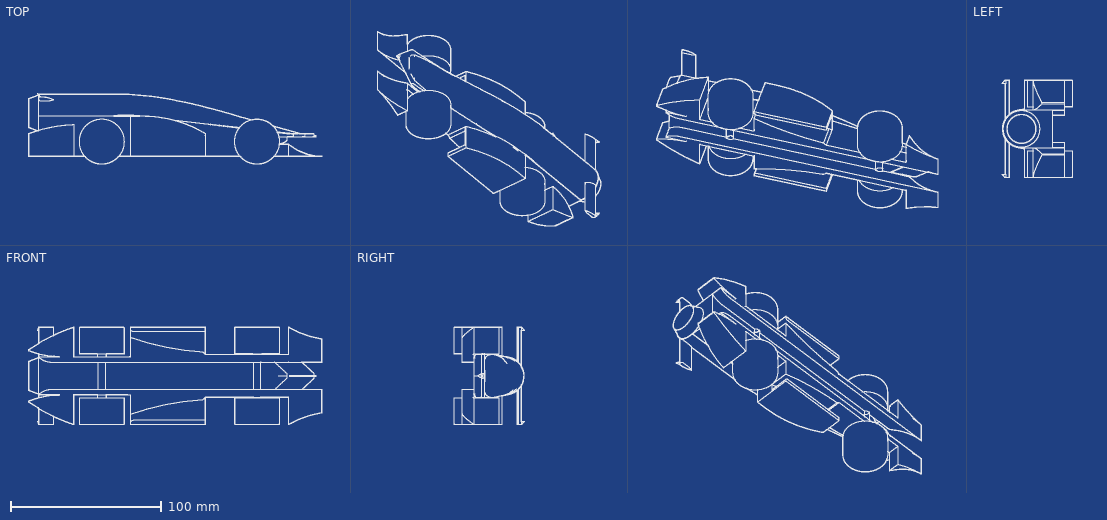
import cadquery as cq
import math


length = 195.0
half_span = 32.5
rear_half_width = 12.7
front_half_width = 14.3

body_rear_x = 6.6
deck_y = 26.7
tunnel_half_width = 9.0
tunnel_roof_y = 8.0
tunnel_flare_length = 8.5
tunnel_flare_half_width = 12.4
tunnel_flare_mid_point = (10.0, 10.2)

chamber_y = 28.7
chamber_radius = 12.6
chamber_front_x = 56.0
chamber_bore_diameter = 19.0
chamber_bore_depth = 50.0
chamber_deck_half_width = math.sqrt(chamber_radius ** 2 - (chamber_y - deck_y) ** 2)
cone_rear_radius = 9.7
cone_front_radius = 12.2

nose_stations = [
    (chamber_front_x, deck_y, chamber_y + chamber_radius, chamber_deck_half_width),
    (75.0, deck_y, 40.7, 12.9),
    (93.0, 24.4, 38.2, 13.5),
    (116.0, 21.7, 33.2, front_half_width),
    (139.0, 19.1, 26.9, front_half_width),
    (162.0, 16.4, 20.3, 13.0),
    (180.0, 14.4, 15.4, 9.0),
]
shoulder_bend_x = 78.0
shoulder_line_x = 93.0
shoulder_line_y = 24.4
shoulder_end_x = 172.0

sweep_slope = 1.07
foil_tip_x = 191.6
foil_tip_y = 14.0
foil_bottom_y = 12.9
foil_top_y = 15.1
foil_round_length = 4.0
foil_blunt_x = 189.9
foil_chord = 25.0
chin_start_x = 164.4
chin_front_x = 173.4
chin_front_direction = (0.4, 1.0)
blade_front_x = 191.0
blade_thickness = 0.5
blade_height = 0.9
blade_drop = 0.1

pod_rear_x = 67.6
pod_front_x = 117.6
pod_bend_x = 76.0
pod_front_y = 15.1
pod_plate_thickness = 3.0
pod_inlet_radius = 2.0
duct_roof_y = 13.2
duct_flare = 1.9
duct_roof_flare = 0.95
duct_wall_rear_z = 25.6
duct_wall_mid_point = (87.0, 20.0)
duct_wall_front_z = 15.9

guard_front_x = 30.0
guard_rear_y = 15.1
guard_front_y = 21.0
guard_mid_point = (15.0, 19.3)
guard_tip_outer_z = 17.4
guard_tip_inner_z = 16.7
guard_outer_mid_point = (14.5, 26.1)
guard_inner_mid_point = (9.0, 14.0)
guard_joint_x = 22.0

front_wing_x = 172.8
front_wing_end_z = 24.6
front_wing_mid_point = (183.0, 27.7)
front_wing_edge = 0.01
front_wing_rear_direction = (-0.8, 0.6)

wing_rear_x = 6.6
wing_front_x = 16.6
wing_bottom_y = 36.8
wing_top_y = 39.6
wing_tip_y = 37.5
wing_flat_start_x = 7.7
wing_flat_end_x = 13.7
wing_tail_direction = (-1, 0.5)
winglet_thickness = 2.3
winglet_x = 5.9
winglet_top_y = 41.7

wheel_diameter = 30.0
wheel_inner_z = 14.7
wheel_edge_radius = 0.8
axle_diameter = 6.0
axle_y = 9.7
stub_end_z = 12.0
axle_xs = (48.6, 151.9)


def mirrored(shape):
    """Add the copy of a shape on the other side of the car."""
    return shape.union(shape.mirror("XY"))


def slab(outline, z_start, z_end):
    """Extrude a side outline between two Z positions."""
    return outline.extrude(z_end - z_start).translate((0, 0, z_start))


def plan_prism(outline, y_end):
    """Extrude a plan outline, drawn as (x, z) from the floor, up to a height."""
    return outline.extrude(-y_end)


def plan():
    """Floor plane whose local axes are X and Z."""
    return cq.Workplane(cq.Plane((0, 0, 0), (1, 0, 0), (0, -1, 0)))


def swept_prism(outline, half_width):
    """Sweep a side outline out to both sides, leaning back to form an arrow shape."""
    face = cq.Face.makeFromWires(outline.val())
    sides = [
        cq.Solid.extrudeLinear(face, cq.Vector(-sweep_slope * half_width, 0, side * half_width))
        for side in (1, -1)
    ]
    return cq.Workplane(sides[0]).union(cq.Workplane(sides[1]))


def body_core():
    """Block above the channel, narrower behind the side pods, undercut to the chin in front."""
    outline = (
        cq.Workplane("XY")
        .moveTo(body_rear_x, tunnel_roof_y)
        .lineTo(body_rear_x, deck_y)
        .lineTo(shoulder_bend_x, deck_y)
        .spline(
            [(shoulder_line_x, shoulder_line_y)],
            tangents=[(1, 0), (shoulder_end_x - shoulder_line_x, foil_top_y - shoulder_line_y)],
            includeCurrent=True,
        )
        .lineTo(shoulder_end_x, foil_top_y)
        .lineTo(shoulder_end_x, tunnel_roof_y)
        .close()
    )
    core = slab(outline, -front_half_width, front_half_width)
    side_step = (
        cq.Workplane("XY")
        .rect(pod_rear_x, deck_y, centered=False)
        .extrude(front_half_width - rear_half_width)
        .translate((0, 0, rear_half_width))
    )
    chin_space = (
        cq.Workplane("XY")
        .moveTo(chin_start_x, tunnel_roof_y)
        .spline(
            [(chin_front_x, foil_bottom_y)],
            tangents=[(1, 0), chin_front_direction],
            includeCurrent=True,
        )
        .lineTo(length, foil_bottom_y)
        .lineTo(length, tunnel_roof_y)
        .close()
    )
    return core.cut(mirrored(side_step)).cut(swept_prism(chin_space, front_half_width))


def side_rails():
    """Walls of the channel; their inner faces flare out at the tail."""
    flare_end_x = body_rear_x + tunnel_flare_length
    rail = plan_prism(
        plan()
        .moveTo(body_rear_x, rear_half_width)
        .lineTo(body_rear_x, tunnel_flare_half_width)
        .threePointArc(tunnel_flare_mid_point, (flare_end_x, tunnel_half_width))
        .lineTo(front_wing_x, tunnel_half_width)
        .lineTo(front_wing_x, front_half_width)
        .lineTo(pod_rear_x, front_half_width)
        .lineTo(pod_rear_x, rear_half_width)
        .close(),
        tunnel_roof_y,
    )
    return mirrored(rail)


def chamber():
    """Cylinder with a tapered tail."""
    tube = (
        cq.Workplane("YZ", origin=(body_rear_x, chamber_y, 0))
        .circle(chamber_radius)
        .extrude(chamber_front_x - body_rear_x)
    )
    cone = cq.Workplane(
        cq.Solid.makeCone(
            cone_rear_radius, cone_front_radius, body_rear_x,
            pnt=cq.Vector(0, chamber_y, 0), dir=cq.Vector(1, 0, 0),
        )
    )
    return tube.union(cone)


def chamber_bore():
    """Blind hole for the gas cartridge, open at the tail."""
    return (
        cq.Workplane("YZ", origin=(0, chamber_y, 0))
        .circle(chamber_bore_diameter / 2)
        .extrude(chamber_bore_depth)
    )


def nose_section(x, shoulder_y, top_y, half_width):
    """Arch standing on the shoulder."""
    return (
        cq.Workplane("YZ", origin=(x, 0, 0))
        .moveTo(shoulder_y, -half_width)
        .lineTo(shoulder_y, half_width)
        .threePointArc((top_y, 0), (shoulder_y, -half_width))
        .close()
        .val()
    )


def nose():
    """Smooth loft from the chamber down to the front foil."""
    return cq.Workplane(cq.Solid.makeLoft([nose_section(*station) for station in nose_stations]))


def front_foil():
    """Arrow-shaped foil with a round leading edge."""
    round_x = foil_tip_x - foil_round_length
    outline = (
        cq.Workplane("XY")
        .moveTo(foil_tip_x - foil_chord, foil_bottom_y)
        .lineTo(round_x, foil_bottom_y)
        .spline(
            [(foil_tip_x, foil_tip_y), (round_x, foil_top_y)],
            tangents=[(1, 0), (-1, 0)],
            includeCurrent=True,
        )
        .lineTo(foil_tip_x - foil_chord, foil_top_y)
        .close()
    )
    blunt_cut = (
        cq.Workplane("YZ", origin=(foil_blunt_x, foil_tip_y, 0))
        .rect(foil_chord, rear_half_width)
        .extrude(foil_tip_x - foil_blunt_x)
    )
    return swept_prism(outline, front_half_width).cut(blunt_cut)


def centre_blade():
    """Thin blade along the middle of the foil, ending just ahead of its blunt point."""
    blade_length = blade_front_x - chin_front_x
    blade = cq.Workplane("XY").rect(blade_length, blade_height, centered=False).extrude(blade_thickness)
    return blade.translate((chin_front_x, foil_bottom_y - blade_drop, -blade_thickness / 2))


def side_pods():
    """Pods with a duct between the body and an outer side plate."""
    drop = deck_y - pod_front_y
    run = pod_front_x - pod_bend_x
    bend_radius = (run ** 2 + drop ** 2) / (2 * drop)
    half_run = run / 2
    bend_mid_y = deck_y - bend_radius + math.sqrt(bend_radius ** 2 - half_run ** 2)
    pod = slab(
        cq.Workplane("XY")
        .moveTo(pod_rear_x, 0)
        .lineTo(pod_rear_x, deck_y)
        .lineTo(pod_bend_x, deck_y)
        .threePointArc((pod_bend_x + half_run, bend_mid_y), (pod_front_x, pod_front_y))
        .lineTo(pod_front_x, 0)
        .close(),
        tunnel_half_width,
        half_span,
    )
    plate_z = half_span - pod_plate_thickness
    flare_x = pod_front_x - duct_flare
    arc_offset = pod_inlet_radius * (1 - math.sqrt(0.5))
    duct_plan = plan_prism(
        plan()
        .moveTo(pod_rear_x, duct_wall_rear_z)
        .threePointArc(duct_wall_mid_point, (flare_x, duct_wall_front_z))
        .lineTo(pod_front_x, front_half_width)
        .lineTo(pod_front_x, plate_z)
        .lineTo(pod_rear_x + pod_inlet_radius, plate_z)
        .threePointArc(
            (pod_rear_x + arc_offset, plate_z + arc_offset),
            (pod_rear_x, plate_z + pod_inlet_radius),
        )
        .close(),
        deck_y,
    )
    duct_side = slab(
        cq.Workplane("XY")
        .moveTo(pod_rear_x, 0)
        .lineTo(pod_rear_x, duct_roof_y)
        .lineTo(flare_x, duct_roof_y)
        .tangentArcPoint((pod_front_x, duct_roof_y + duct_roof_flare), relative=False)
        .lineTo(pod_front_x, 0)
        .close(),
        0,
        half_span,
    )
    return mirrored(pod.cut(duct_plan.intersect(duct_side)))


def wheel_guards():
    """Tapered fairings behind the rear wheels, rising towards the wheel."""
    root_z = (tunnel_half_width + rear_half_width) / 2
    guard_plan = plan_prism(
        plan()
        .moveTo(0, guard_tip_inner_z)
        .lineTo(0, guard_tip_outer_z)
        .threePointArc(guard_outer_mid_point, (guard_front_x, half_span))
        .lineTo(guard_front_x, root_z)
        .lineTo(guard_joint_x, root_z)
        .lineTo(guard_joint_x, rear_half_width)
        .threePointArc(guard_inner_mid_point, (0, guard_tip_inner_z))
        .close(),
        deck_y,
    )
    guard_side = slab(
        cq.Workplane("XY")
        .lineTo(0, guard_rear_y)
        .threePointArc(guard_mid_point, (guard_front_x, guard_front_y))
        .lineTo(guard_front_x, 0)
        .close(),
        0,
        half_span,
    )
    return mirrored(guard_plan.intersect(guard_side))


def front_wings():
    """Ramps in front of the front wheels, thinning to a leading edge on the floor."""
    wing_plan = plan_prism(
        plan()
        .moveTo(front_wing_x, tunnel_half_width)
        .lineTo(front_wing_x, half_span)
        .threePointArc(front_wing_mid_point, (length, front_wing_end_z))
        .lineTo(length, tunnel_half_width)
        .close(),
        tunnel_roof_y,
    )
    wing_side = slab(
        cq.Workplane("XY")
        .moveTo(length, front_wing_edge)
        .spline(
            [(front_wing_x, tunnel_roof_y)],
            tangents=[(-1, 0), front_wing_rear_direction],
            includeCurrent=True,
        )
        .lineTo(front_wing_x, 0)
        .lineTo(length, 0)
        .close(),
        0,
        half_span,
    )
    return mirrored(wing_plan.intersect(wing_side))


def rear_wing():
    """Foil across the tail with a small hooked winglet at each end."""
    foil = slab(
        cq.Workplane("XY")
        .moveTo(wing_flat_start_x, wing_bottom_y)
        .lineTo(wing_flat_end_x, wing_bottom_y)
        .lineTo(wing_front_x, wing_tip_y)
        .spline(
            [(wing_flat_start_x, wing_top_y)],
            tangents=[wing_tail_direction, (-1, 0)],
            includeCurrent=True,
        )
        .threePointArc(
            (wing_rear_x, (wing_top_y + wing_bottom_y) / 2), (wing_flat_start_x, wing_bottom_y)
        )
        .close(),
        -half_span,
        half_span,
    )
    winglet = slab(
        cq.Workplane("XY")
        .moveTo(winglet_x, winglet_top_y)
        .lineTo(wing_flat_start_x, wing_top_y)
        .lineTo(wing_flat_start_x, wing_bottom_y)
        .close(),
        half_span - winglet_thickness,
        half_span,
    )
    bevel = (
        cq.Workplane("YZ")
        .moveTo(winglet_top_y, half_span - winglet_thickness)
        .lineTo(wing_top_y, half_span)
        .lineTo(winglet_top_y, half_span)
        .close()
        .extrude(wing_front_x)
    )
    return foil.union(mirrored(winglet.cut(bevel)))


def axle_hole(x):
    """Cross hole for a pair of stub axles; it breaks through the channel roof as a groove."""
    return slab(
        cq.Workplane("XY").center(x, axle_y).circle(axle_diameter / 2), -half_span, half_span
    )


def make_car_body():
    body = body_core()
    for part in (
        side_rails(), side_pods(), wheel_guards(), front_wings(),
        chamber(), nose(), front_foil(), centre_blade(), rear_wing(),
    ):
        body = body.union(part)
    for x in axle_xs:
        body = body.cut(axle_hole(x))
    return body.cut(chamber_bore())


def make_wheel(x, side):
    """Wheel with a rounded outer edge and a stub axle that stops inside the cross hole."""
    wheel = slab(
        cq.Workplane("XY").center(x, axle_y).circle(wheel_diameter / 2), wheel_inner_z, half_span
    )
    wheel = wheel.faces(">Z").edges().fillet(wheel_edge_radius)
    stub = slab(
        cq.Workplane("XY").center(x, axle_y).circle(axle_diameter / 2), stub_end_z, wheel_inner_z
    )
    wheel = wheel.union(stub)
    if side < 0:
        wheel = wheel.mirror("XY")
    return wheel


car_body = make_car_body()
wheels = [make_wheel(x, side) for x in axle_xs for side in (1, -1)]

result = cq.Compound.makeCompound(
    [car_body.solids().val(), *[wheel.solids().val() for wheel in wheels]]
)